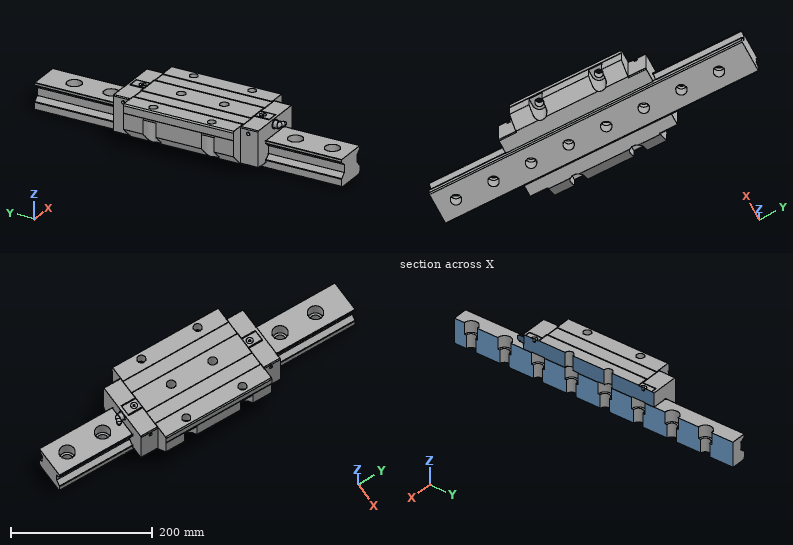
import cadquery as cq
import math

RAIL_LENGTH = 500.0
RAIL_WIDTH = 53.0
RAIL_HEIGHT = 44.0
RAIL_WEB_WIDTH = 37.5
RAIL_WEB_BOTTOM = 20.5
RAIL_WEB_TOP = 33.0
RAIL_SHOULDER = 13.0
RAIL_HEAD_BOTTOM = 40.0
RAIL_BOTTOM_EDGE = 2.0
RAIL_TOP_EDGE = 0.5
RAIL_CORNER_WIDTH = 0.5
RAIL_CORNER_HEIGHT = 1.0
RAIL_HOLE_DIAMETER = 16.0
RAIL_BORE_DIAMETER = 23.0
RAIL_BORE_DEPTH = 20.0
RAIL_HOLE_PITCH = 60.0
RAIL_HOLE_COUNT = 8
RAIL_FIRST_HOLE = -220.0

CARRIAGE_TOP = 70.0
CARRIAGE_BOTTOM = 10.0
CARRIAGE_Y = -9.0
CARRIAGE_LENGTH = 235.5
BLOCK_LENGTH = 179.0
BLOCK_WIDTH = 140.0
BLOCK_EDGE_WIDTH = 1.5
BLOCK_EDGE_HEIGHT = 2.5
BAND_BOTTOM = 55.5
BAND_STEP = 0.5
SLANT_TOP = 30.0
BOTTOM_WIDTH = 99.0

GROOVE_INNER = 19.0
GROOVE_OUTER = 41.5
GROOVE_DEPTH = 1.0

FLANGE_HOLE_DIAMETER = 12.5
FLANGE_HOLE_X = 58.0
FLANGE_HOLE_PITCH = 95.0
CENTRE_HOLE_DIAMETER = 13.5
CENTRE_HOLE_PITCH = 70.0
SLOT_WIDTH = 21.0
SLOT_TOP = 52.5

CAP_WIDTH = 98.0
CAP_TOP = 68.5
CAP_EDGE = 1.5
CAP_LENGTH = (CARRIAGE_LENGTH - BLOCK_LENGTH) / 2
CAP_FACE_Y = CARRIAGE_Y - CARRIAGE_LENGTH / 2
PAD_WIDTH = 19.5
PAD_HEIGHT = 0.5
PAD_EDGE = 1.5
PAD_END_GAP = 4.5
PORT_INSET = 20.0
PORT_DIAMETER = 10.0
PORT_DEPTH = 0.25
PORT_HOLE_DIAMETER = 3.0
PORT_HOLE_DEPTH = 5.0
SIDE_HOLE_DIAMETER = 5.0
SIDE_HOLE_INSET = 16.0
SIDE_HOLE_Z = 60.5
SIDE_HOLE_DEPTH = 5.0

NIPPLE_Z = 59.0
COLLAR_DIAMETER = 11.5
COLLAR_LENGTH = 6.0
SEAT_DIAMETER = 14.0
SEAT_DEPTH = 1.5
BALL_DIAMETER = 9.5
NOZZLE_ANGLE = 30.0
NOZZLE_REACH = 11.5
NOZZLE_DIAMETER = 7.0
TIP_DIAMETER = 4.0
TIP_LENGTH = 3.0


def mirrored_profile(half):
    """Close a right-hand half outline (bottom to top) with its mirror image across X = 0."""
    left = [(-x, z) for x, z in reversed(half)]
    return cq.Workplane("XZ").polyline(half + left).close()


def along_y(profile, length, middle):
    return profile.extrude(length / 2, both=True).translate((0, middle, 0))


def rail_solid():
    """The rail without its mounting holes."""
    side = RAIL_WIDTH / 2
    web = RAIL_WEB_WIDTH / 2
    corner = side - RAIL_CORNER_WIDTH
    half = [
        (side - RAIL_BOTTOM_EDGE, 0),
        (side, RAIL_BOTTOM_EDGE),
        (side, RAIL_SHOULDER),
        (corner, RAIL_SHOULDER + RAIL_CORNER_HEIGHT),
        (web, RAIL_WEB_BOTTOM),
        (web, RAIL_WEB_TOP),
        (corner, RAIL_HEAD_BOTTOM - RAIL_CORNER_HEIGHT),
        (side, RAIL_HEAD_BOTTOM),
        (side, RAIL_HEIGHT - RAIL_TOP_EDGE),
        (side - RAIL_TOP_EDGE, RAIL_HEIGHT),
    ]
    return along_y(mirrored_profile(half), RAIL_LENGTH, 0)


def make_rail():
    places = [(0, RAIL_FIRST_HOLE + i * RAIL_HOLE_PITCH) for i in range(RAIL_HOLE_COUNT)]
    return (
        rail_solid()
        .faces(">Z")
        .workplane(origin=(0, 0, 0))
        .pushPoints(places)
        .cboreHole(RAIL_HOLE_DIAMETER, RAIL_BORE_DIAMETER, RAIL_BORE_DEPTH)
    )


def make_block():
    side = BLOCK_WIDTH / 2
    low_side = side - BAND_STEP
    groove_floor = CARRIAGE_TOP - GROOVE_DEPTH
    half = [
        (BOTTOM_WIDTH / 2, CARRIAGE_BOTTOM),
        (low_side, SLANT_TOP),
        (low_side, BAND_BOTTOM),
        (side, BAND_BOTTOM),
        (side, CARRIAGE_TOP - BLOCK_EDGE_HEIGHT),
        (side - BLOCK_EDGE_WIDTH, CARRIAGE_TOP),
        (GROOVE_OUTER, CARRIAGE_TOP),
        (GROOVE_OUTER, groove_floor),
        (GROOVE_INNER, groove_floor),
        (GROOVE_INNER, CARRIAGE_TOP),
    ]
    block = along_y(mirrored_profile(half), BLOCK_LENGTH, CARRIAGE_Y)
    return block.cut(access_slots()).cut(mounting_holes())


def access_slots():
    """Round-ended slots cut into the sides, below the flange holes."""
    height = SLOT_TOP - CARRIAGE_BOTTOM
    opening = BLOCK_WIDTH / 2 - FLANGE_HOLE_X
    slot = (
        cq.Workplane("XY", origin=(FLANGE_HOLE_X, 0, CARRIAGE_BOTTOM))
        .circle(SLOT_WIDTH / 2)
        .extrude(height)
        .union(
            cq.Workplane("XY", origin=(FLANGE_HOLE_X + opening / 2, 0, CARRIAGE_BOTTOM))
            .rect(opening, SLOT_WIDTH)
            .extrude(height)
        )
    )
    slots = cq.Workplane("XY")
    for turn in (0, 180):
        for end in (-1, 1):
            y = CARRIAGE_Y + end * FLANGE_HOLE_PITCH / 2
            slots = slots.add(slot.rotate((0, 0, 0), (0, 0, 1), turn).translate((0, y, 0)))
    return slots.combine()


def mounting_holes():
    base = cq.Workplane("XY", origin=(0, CARRIAGE_Y, 0))
    flange = (
        base.rarray(2 * FLANGE_HOLE_X, FLANGE_HOLE_PITCH, 2, 2)
        .circle(FLANGE_HOLE_DIAMETER / 2)
        .extrude(CARRIAGE_TOP)
    )
    centre = (
        base.rarray(5, CENTRE_HOLE_PITCH, 1, 2)
        .circle(CENTRE_HOLE_DIAMETER / 2)
        .extrude(CARRIAGE_TOP)
    )
    return flange.union(centre)


def make_cap():
    """The -Y end cap, with its outer face at Y = 0."""
    height = CAP_TOP - CARRIAGE_BOTTOM
    cap = (
        cq.Workplane("XY", origin=(0, CAP_LENGTH / 2, CARRIAGE_BOTTOM))
        .box(CAP_WIDTH, CAP_LENGTH, height, centered=(True, True, False))
        .edges("|Y")
        .chamfer(CAP_EDGE)
    )
    pad_length = CAP_LENGTH - PAD_END_GAP
    slope = PAD_WIDTH / 2 - PAD_EDGE
    pad_top = CAP_TOP + PAD_HEIGHT
    pad = along_y(
        mirrored_profile([(PAD_WIDTH / 2, CAP_TOP), (slope, pad_top)]),
        pad_length,
        PAD_END_GAP + pad_length / 2,
    )
    port = (
        cq.Workplane("XY", origin=(0, PORT_INSET, pad_top))
        .circle(PORT_DIAMETER / 2)
        .extrude(-PORT_DEPTH)
        .circle(PORT_HOLE_DIAMETER / 2)
        .extrude(-PORT_HOLE_DEPTH)
    )
    cap = cap.union(pad).cut(port)
    for end in (-1, 1):
        outer_face = cq.Workplane("YZ", origin=(end * CAP_WIDTH / 2, SIDE_HOLE_INSET, SIDE_HOLE_Z))
        cap = cap.cut(outer_face.circle(SIDE_HOLE_DIAMETER / 2).extrude(-end * SIDE_HOLE_DEPTH))
    return cap


def make_carriage():
    cap = make_cap()
    front_cap = cap.translate((0, CAP_FACE_Y, 0))
    back_cap = cap.rotate((0, 0, 0), (0, 0, 1), 180).translate((0, CAP_FACE_Y + CARRIAGE_LENGTH, 0))
    seat = (
        cq.Workplane("XZ", origin=(0, CAP_FACE_Y, NIPPLE_Z))
        .circle(SEAT_DIAMETER / 2)
        .extrude(-SEAT_DEPTH)
    )
    return make_block().union(front_cap).union(back_cap).cut(rail_solid()).cut(seat)


def make_nipple():
    """Grease nipple standing in its seat on the -Y cap, with an angled nozzle."""
    collar = (
        cq.Workplane("XZ", origin=(0, CAP_FACE_Y + SEAT_DEPTH, NIPPLE_Z))
        .circle(COLLAR_DIAMETER / 2)
        .extrude(SEAT_DEPTH + COLLAR_LENGTH)
    )
    elbow = (0, CAP_FACE_Y - COLLAR_LENGTH, NIPPLE_Z)
    ball = cq.Workplane("XY", origin=elbow).sphere(BALL_DIAMETER / 2)
    angle = math.radians(NOZZLE_ANGLE)
    profile = [
        (0, 0),
        (NOZZLE_DIAMETER / 2, 0),
        (NOZZLE_DIAMETER / 2, NOZZLE_REACH - TIP_LENGTH),
        (TIP_DIAMETER / 2, NOZZLE_REACH),
        (0, NOZZLE_REACH),
    ]
    plane = cq.Plane(origin=elbow, xDir=(0, 0, 1), normal=(math.sin(angle), math.cos(angle), 0))
    nozzle = cq.Workplane(plane).polyline(profile).close().revolve(360, (0, 0), (0, 1))
    return collar.union(ball).union(nozzle)


rail = make_rail()
carriage = make_carriage()
nipple = make_nipple()

result = cq.Compound.makeCompound([rail.val(), carriage.val(), nipple.val()])